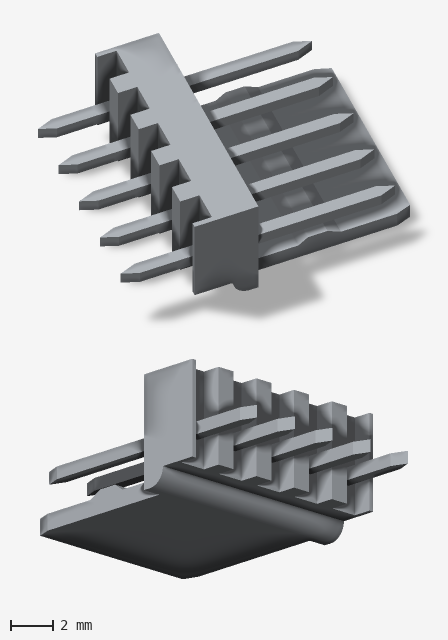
import cadquery as cq

pin_count = 5
pitch = 2.5
pin_size = 0.64
pin_height = 2.6
pin_front_reach = 6.7
pin_rear_reach = 7.5
pin_taper = 0.85
pin_row_span = (pin_count - 1) * pitch
pin_positions = [i * pitch - pin_row_span / 2 for i in range(pin_count)]

overall_height = 5.8
block_width = 12.0
block_depth = 3.3
foot_height = 0.9
foot_depth = 1.3

slot_width = 1.5
slot_depth = 1.0

plate_width = pin_row_span
plate_length = 8.4
plate_thickness = 0.85
corner_length = 0.8
corner_width = 0.27

ridge_height = 0.37
ridge_front_base = 2.5
ridge_front_top = 3.0
ridge_rear_top = 4.0
ridge_rear_base = 4.7


def extrude_along_x(side_profile, width):
    """Extrude a closed YZ profile symmetrically about X = 0."""
    return side_profile.extrude(width / 2, both=True)


def make_block():
    """Block standing on a foot whose lower front edge is a quarter round."""
    profile = (
        cq.Workplane("YZ")
        .moveTo(0, 0)
        .lineTo(foot_height - foot_depth, 0)
        .radiusArc((-foot_depth, foot_height), foot_height)
        .lineTo(-block_depth, foot_height)
        .lineTo(-block_depth, overall_height)
        .lineTo(0, overall_height)
        .close()
    )
    return extrude_along_x(profile, block_width)


def make_slot(x):
    """Vertical slot around one pin, open at the front, top and bottom of the block."""
    return (
        cq.Workplane("XY", origin=(x, slot_depth / 2 - block_depth, foot_height))
        .rect(slot_width, slot_depth)
        .extrude(overall_height - foot_height)
    )


def make_plate():
    """Flat plate with its two rear corners cut off."""
    half_width = plate_width / 2
    return (
        cq.Workplane("XY")
        .moveTo(-half_width, 0)
        .lineTo(half_width, 0)
        .lineTo(half_width, plate_length - corner_length)
        .lineTo(half_width - corner_width, plate_length)
        .lineTo(corner_width - half_width, plate_length)
        .lineTo(-half_width, plate_length - corner_length)
        .close()
        .extrude(plate_thickness)
    )


def make_ridge():
    """Trapezoidal ridge across the full width of the plate."""
    ridge_top = plate_thickness + ridge_height
    profile = (
        cq.Workplane("YZ")
        .moveTo(ridge_front_base, 0)
        .lineTo(ridge_front_base, plate_thickness)
        .lineTo(ridge_front_top, ridge_top)
        .lineTo(ridge_rear_top, ridge_top)
        .lineTo(ridge_rear_base, plate_thickness)
        .lineTo(ridge_rear_base, 0)
        .close()
    )
    return extrude_along_x(profile, plate_width)


def make_pin(x):
    """Square pin along Y, brought to an edge at both ends by tapering its sides."""
    half_size = pin_size / 2
    front_shoulder = pin_taper - pin_front_reach
    rear_shoulder = pin_rear_reach - pin_taper
    return (
        cq.Workplane("XY", origin=(x, 0, pin_height - half_size))
        .moveTo(0, -pin_front_reach)
        .lineTo(half_size, front_shoulder)
        .lineTo(half_size, rear_shoulder)
        .lineTo(0, pin_rear_reach)
        .lineTo(-half_size, rear_shoulder)
        .lineTo(-half_size, front_shoulder)
        .close()
        .extrude(pin_size)
    )


block = make_block()
for pin_x in pin_positions:
    block = block.cut(make_slot(pin_x))

result = block.union(make_plate()).union(make_ridge())
for pin_x in pin_positions:
    result = result.union(make_pin(pin_x))